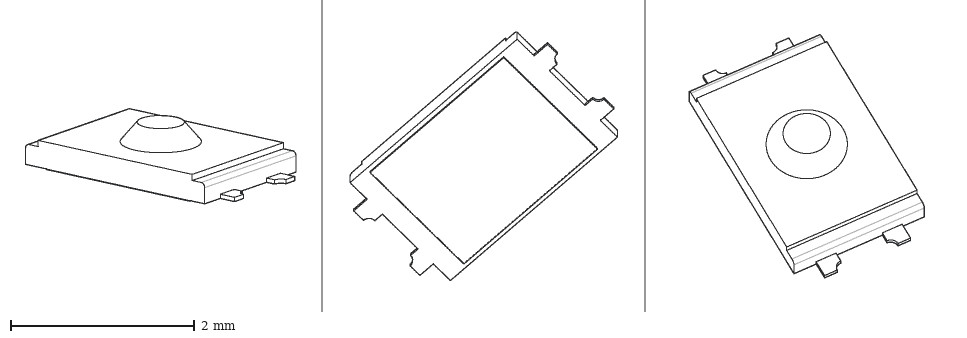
import cadquery as cq

overall_length = 2.9
overall_height = 0.55

housing_length = 2.5
housing_width = 1.6
raised_length = 2.152
shoulder_height = 0.235
raised_height = 0.305
shoulder_radius = 0.05

plate_length = 2.0
plate_width = 1.495
plate_thickness = 0.025

terminal_width = 0.245
terminal_thickness = 0.05
terminal_outer_y = 0.528
notch_radius = 0.087

button_base_diameter = 0.887
button_top_diameter = 0.515

housing_bottom_z = plate_thickness
housing_top_z = housing_bottom_z + raised_height
button_height = overall_height - housing_top_z
terminal_reach = (overall_length - housing_length) / 2
terminal_x = (overall_length - terminal_reach) / 2
terminal_y = terminal_outer_y - terminal_width / 2


def block(length, width, height, bottom_z):
    """Box centred on the Z axis, standing on bottom_z."""
    return cq.Workplane("XY", origin=(0, 0, bottom_z)).box(
        length, width, height, centered=(True, True, False)
    )


def make_terminal(side_x, side_y):
    """Flat tab with a quarter-round notch at its outer corner nearest the X axis."""
    tab = block(terminal_reach, terminal_width, terminal_thickness, housing_bottom_z).translate(
        (side_x * terminal_x, side_y * terminal_y, 0)
    )
    notch_x = side_x * overall_length / 2
    notch_y = side_y * (terminal_outer_y - terminal_width)
    notch = (
        cq.Workplane("XY", origin=(notch_x, notch_y, housing_bottom_z))
        .circle(notch_radius)
        .extrude(terminal_thickness)
    )
    return tab.cut(notch)


def make_housing():
    """Stepped housing with rounded shoulders, bottom plate and four terminals."""
    base = block(housing_length, housing_width, shoulder_height, housing_bottom_z)
    base = base.faces(">Z").edges("|Y").fillet(shoulder_radius)
    body = base.union(block(raised_length, housing_width, raised_height, housing_bottom_z))
    body = body.union(block(plate_length, plate_width, plate_thickness, 0))
    for side_x in (-1, 1):
        for side_y in (-1, 1):
            body = body.union(make_terminal(side_x, side_y))
    return body


def make_button():
    """Truncated cone standing on the top face of the housing."""
    profile = (
        cq.Workplane("XZ", origin=(0, 0, housing_top_z))
        .lineTo(button_base_diameter / 2, 0)
        .lineTo(button_top_diameter / 2, button_height)
        .lineTo(0, button_height)
        .close()
    )
    return profile.revolve(360, (0, 0, 0), (0, 1, 0))


housing = make_housing()
button = make_button()

result = cq.Compound.makeCompound([housing.solids().val(), button.solids().val()])